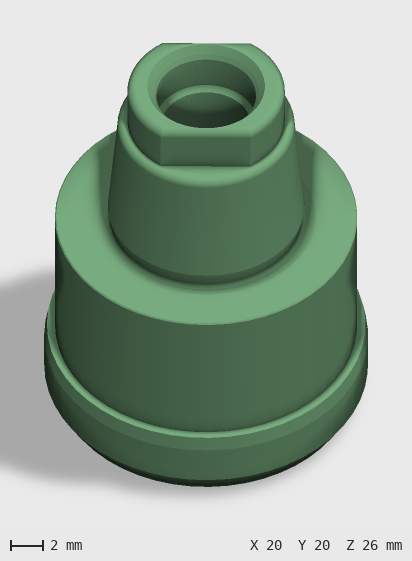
import cadquery as cq
import math

height = 25.95
base_radius = 10.005
base_bottom_radius = 9.2
base_bottom_chamfer_z = 1.4
base_top_chamfer_z = 4.02
base_top_chamfer_radius = 9.84
base_top_z = 4.95

body_radius = 9.35
body_top_z = 14.48
body_edge_chamfer = 0.08

recess_outer_radius = 6.77
recess_inner_radius = 6.18
recess_depth = 0.18
recess_floor_z = body_top_z - recess_depth
undercut_radius = 5.95
undercut_fillet = recess_inner_radius - undercut_radius
undercut_top_z = recess_floor_z + undercut_fillet

neck_collar_radius = 6.0
neck_collar_z = 14.92
neck_radius = 6.07
neck_bottom_z = 15.41
shoulder_edge_radius = 5.48
shoulder_z = 22.97
shoulder_fillet = 0.47

tip_radius = 4.865
flat_distance = 4.0
flat_angle = 150.0
tip_fillet = 0.5

through_radius = 1.97
drill_cone_slope = 30.0
lower_bore_radius = 2.75
lower_bore_end_depth = 12.98
drill_cone_height = (lower_bore_radius - through_radius) * math.tan(math.radians(drill_cone_slope))
drill_cone_depth = lower_bore_end_depth + drill_cone_height
bore_steps = [
    (3.63, 0.0),
    (3.27, 0.5),
    (3.1, 0.8),
    (3.1, 3.04),
    (lower_bore_radius, 3.35),
    (lower_bore_radius, lower_bore_end_depth),
    (through_radius, drill_cone_depth),
    (through_radius, height),
]


def revolve_about_z(profile):
    """Turn a closed radius/height outline into a solid about the Z axis."""
    return profile.close().revolve(360, (0, 0, 0), (0, 1, 0))


def make_body():
    """Base, cylinder, recess and tapered neck up to the shoulder."""
    diagonal = math.sqrt(0.5)
    undercut_middle = (
        recess_inner_radius - undercut_fillet * diagonal,
        undercut_top_z - undercut_fillet * diagonal,
    )
    shoulder_fillet_middle = (
        shoulder_edge_radius - shoulder_fillet * (1 - diagonal),
        shoulder_z - shoulder_fillet * (1 - diagonal),
    )
    profile = (
        cq.Workplane("XZ")
        .moveTo(0, 0)
        .lineTo(base_bottom_radius, 0)
        .lineTo(base_radius, base_bottom_chamfer_z)
        .lineTo(base_radius, base_top_chamfer_z)
        .lineTo(base_top_chamfer_radius, base_top_z)
        .lineTo(body_radius, base_top_z)
        .lineTo(body_radius, body_top_z - body_edge_chamfer)
        .lineTo(body_radius - body_edge_chamfer, body_top_z)
        .lineTo(recess_outer_radius, body_top_z)
        .lineTo(recess_inner_radius, recess_floor_z)
        .threePointArc(undercut_middle, (undercut_radius, undercut_top_z))
        .lineTo(neck_collar_radius, neck_collar_z)
        .lineTo(neck_radius, neck_bottom_z)
        .lineTo(shoulder_edge_radius, shoulder_z - shoulder_fillet)
        .threePointArc(shoulder_fillet_middle, (shoulder_edge_radius - shoulder_fillet, shoulder_z))
        .lineTo(0, shoulder_z)
    )
    return revolve_about_z(profile)


def make_tip():
    """Round tip cut by two flats, with its whole top edge rounded."""
    tip_height = height - shoulder_z
    tip = cq.Workplane("XY").circle(tip_radius).extrude(tip_height)
    between_flats = cq.Workplane("XY").rect(2 * flat_distance, 2 * tip_radius).extrude(tip_height)
    tip = tip.intersect(between_flats).faces(">Z").edges().fillet(tip_fillet)
    return tip.rotate((0, 0, 0), (0, 0, 1), flat_angle).translate((0, 0, shoulder_z))


def make_bore():
    """Stepped and chamfered bore running from the tip through the base."""
    profile = cq.Workplane("XZ").moveTo(0, height)
    for radius, depth in bore_steps:
        profile = profile.lineTo(radius, height - depth)
    return revolve_about_z(profile.lineTo(0, 0))


result = make_body().union(make_tip()).cut(make_bore())